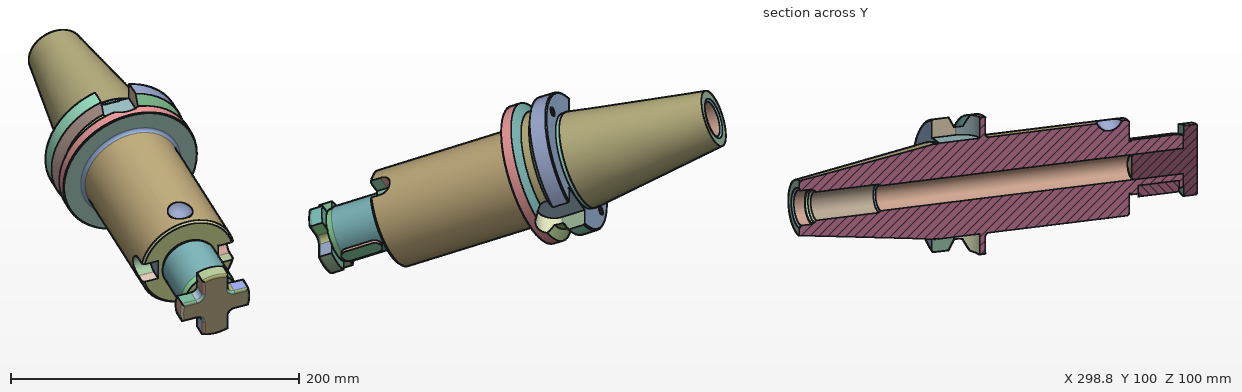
import cadquery as cq
import math


total_length = 298.8
gauge_x = 102.0
flange_start_x = 105.0
flange_end_x = 139.8
body_end_x = 247.7
spigot_end_x = 288.3

flange_radius = 100.0 / 2
gauge_radius = 35.0
body_radius = gauge_radius
spigot_radius = 20.0
taper_ratio = 7 / 24
small_end_radius = gauge_radius - gauge_x * taper_ratio / 2

groove_radius = 42.7
groove_floor_start_x = 121.5
groove_floor_end_x = 127.5
groove_flank_run = (flange_radius - groove_radius) * math.tan(math.radians(30))
flange_front_chamfer = 1.0
flange_back_chamfer = 0.5
flange_root_fillet = 2.5
neck_relief_depth = 0.3

body_chamfer = 1.5
spigot_relief_width = 1.8
spigot_relief_depth = 1.0
spigot_chamfer_length = 4.5
spigot_chamfer_depth = 1.2

drive_slot_width = 25.7
drive_slot_end_x = 135.5

face_hole_radius = 2.7
face_hole_countersink_radius = 3.3
face_hole_circle_radius = 41.8
face_hole_angle = 20
face_hole_depth = 8.5

notch_width = 15.5
notch_start_x = 232.0
notch_floor_radius = 22.5

dimple_x = 232.8
dimple_sphere_radius = 10.0
dimple_sphere_height = 38.5

mouth_radius = 14.3
mouth_depth = 1.2
pilot_radius = 12.5
pilot_end_x = 9.3
thread_mouth_radius = 11.7
thread_mouth_end_x = 11.5
thread_radius = 10.2
thread_end_x = 59.8
through_radius = 9.0
thread_lead_in = thread_mouth_radius - thread_radius
thread_run_out = thread_radius - through_radius

key_start_x = 254.5
key_length = 30.5
key_width = 10.2
key_height = 8.0
key_outer_z = -22.0

head_diameter = 51.7
upright_lug_width = 19.5
side_lug_width = 15.5
lug_corner_fillet = 4.5
head_edge_fillet = 1.8
shank_length = 38.8
shank_tip_chamfer = 1.0


def half_turn_pair(shape):
    """A shape together with its copy turned half a turn about the X axis."""
    return [shape, shape.rotate((0, 0, 0), (1, 0, 0), 180)]


def arbor_blank():
    """Turned outside of the arbor, revolved about the X axis."""
    back_rim_x = flange_end_x - flange_back_chamfer
    root_center_x = flange_end_x + flange_root_fillet
    root_center_radius = body_radius + flange_root_fillet
    root_mid_offset = flange_root_fillet * math.sqrt(0.5)
    relief_end_x = body_end_x + spigot_relief_width
    return (
        cq.Workplane("XY")
        .lineTo(0, small_end_radius)
        .lineTo(gauge_x, gauge_radius)
        .lineTo(gauge_x + neck_relief_depth, gauge_radius - neck_relief_depth)
        .lineTo(flange_start_x, gauge_radius - neck_relief_depth)
        .lineTo(flange_start_x, flange_radius - flange_front_chamfer)
        .lineTo(flange_start_x + flange_front_chamfer, flange_radius)
        .lineTo(groove_floor_start_x - groove_flank_run, flange_radius)
        .lineTo(groove_floor_start_x, groove_radius)
        .lineTo(groove_floor_end_x, groove_radius)
        .lineTo(groove_floor_end_x + groove_flank_run, flange_radius)
        .lineTo(back_rim_x, flange_radius)
        .lineTo(flange_end_x, flange_radius - flange_back_chamfer)
        .lineTo(flange_end_x, root_center_radius)
        .threePointArc(
            (root_center_x - root_mid_offset, root_center_radius - root_mid_offset),
            (root_center_x, body_radius),
        )
        .lineTo(body_end_x - body_chamfer, body_radius)
        .lineTo(body_end_x, body_radius - body_chamfer)
        .lineTo(body_end_x, spigot_radius - spigot_relief_depth)
        .lineTo(relief_end_x - spigot_relief_depth, spigot_radius - spigot_relief_depth)
        .lineTo(relief_end_x, spigot_radius)
        .lineTo(spigot_end_x - spigot_chamfer_length, spigot_radius)
        .lineTo(spigot_end_x, spigot_radius - spigot_chamfer_depth)
        .lineTo(spigot_end_x, 0)
        .close()
        .revolve(360, (0, 0, 0), (1, 0, 0))
    )


def bore():
    """Stepped bore: chamfered mouth, pilot, thread relief, threaded length and narrow through hole."""
    return (
        cq.Workplane("XY")
        .lineTo(0, mouth_radius)
        .lineTo(mouth_depth, pilot_radius)
        .lineTo(pilot_end_x, pilot_radius)
        .lineTo(pilot_end_x, thread_mouth_radius)
        .lineTo(thread_mouth_end_x, thread_mouth_radius)
        .lineTo(thread_mouth_end_x + thread_lead_in, thread_radius)
        .lineTo(thread_end_x, thread_radius)
        .lineTo(thread_end_x + thread_run_out, through_radius)
        .lineTo(spigot_end_x, through_radius)
        .lineTo(spigot_end_x, 0)
        .close()
        .revolve(360, (0, 0, 0), (1, 0, 0))
    )


def drive_slot():
    """Round-ended slot through the flange, open toward the taper."""
    arc_center_x = drive_slot_end_x - drive_slot_width / 2
    return (
        cq.Workplane("XY", origin=(0, 0, gauge_radius))
        .moveTo(gauge_x, -drive_slot_width / 2)
        .lineTo(arc_center_x, -drive_slot_width / 2)
        .threePointArc((drive_slot_end_x, 0), (arc_center_x, drive_slot_width / 2))
        .lineTo(gauge_x, drive_slot_width / 2)
        .close()
        .extrude(flange_radius - gauge_radius)
    )


def face_hole():
    """Blind countersunk hole in the flange face, with a conical bottom."""
    countersink_depth = face_hole_countersink_radius - face_hole_radius
    angle = math.radians(face_hole_angle)
    return (
        cq.Workplane("XY")
        .lineTo(0, face_hole_countersink_radius)
        .lineTo(countersink_depth, face_hole_radius)
        .lineTo(face_hole_depth, face_hole_radius)
        .lineTo(face_hole_depth + face_hole_radius / 2, 0)
        .close()
        .revolve(360, (0, 0, 0), (1, 0, 0))
        .translate((
            flange_start_x,
            face_hole_circle_radius * math.cos(angle),
            face_hole_circle_radius * math.sin(angle),
        ))
    )


def end_notch():
    """Round-ended notch in the +Y side of the body, open at the body end."""
    arc_center_x = notch_start_x + notch_width / 2
    return (
        cq.Workplane("XZ", origin=(0, body_radius, 0))
        .moveTo(body_end_x, -notch_width / 2)
        .lineTo(arc_center_x, -notch_width / 2)
        .threePointArc((notch_start_x, 0), (arc_center_x, notch_width / 2))
        .lineTo(body_end_x, notch_width / 2)
        .close()
        .extrude(body_radius - notch_floor_radius)
    )


def dimple():
    """Ball that leaves a spherical dimple on top of the body."""
    return cq.Workplane("XY").sphere(dimple_sphere_radius).translate((dimple_x, 0, dimple_sphere_height))


def make_key():
    """Round-ended key standing out of the underside of the spigot."""
    return (
        cq.Workplane("XY", origin=(key_start_x + key_length / 2, 0, key_outer_z))
        .slot2D(key_length, key_width)
        .extrude(key_height)
    )


def make_arbor(key):
    """Arbor with all its cuts, including the seat for the key."""
    arbor = arbor_blank().cut(bore()).cut(dimple()).cut(key)
    for feature in (drive_slot(), face_hole(), end_notch()):
        for cutter in half_turn_pair(feature):
            arbor = arbor.cut(cutter)
    return arbor


def make_screw():
    """Retaining screw: a cross-shaped head on a shank that fills the end of the bore."""
    head_height = total_length - spigot_end_x
    face = cq.Workplane("YZ", origin=(spigot_end_x, 0, 0))
    lugs = face.rect(upright_lug_width, head_diameter).extrude(head_height)
    lugs = lugs.union(face.rect(head_diameter, side_lug_width).extrude(head_height))
    inner_corners = cq.selectors.BoxSelector(
        (spigot_end_x, -upright_lug_width, -side_lug_width),
        (total_length, upright_lug_width, side_lug_width),
    )
    lugs = lugs.edges("|X").edges(inner_corners).fillet(lug_corner_fillet)
    head = lugs.intersect(face.circle(head_diameter / 2).extrude(head_height))
    head = head.faces(">X").fillet(head_edge_fillet)
    shank = face.circle(through_radius).extrude(-shank_length).faces("<X").chamfer(shank_tip_chamfer)
    return head.union(shank)


key = make_key()
arbor = make_arbor(key)
screw = make_screw()

result = cq.Compound.makeCompound([arbor.val(), key.val(), screw.val()])